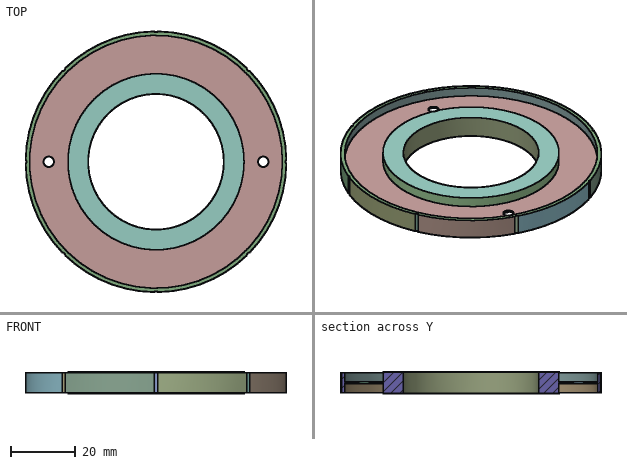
import cadquery as cq

outer_diameter = 81.3
hub_height = 6.75
hub_step = 0.25
rim_height = hub_height - 2 * hub_step
web_thickness = 0.5

rim_inner_diameter = 78.75
hub_diameter = 54.85
bore_diameter = 42.2

hole_diameter = 3.2
hole_spacing = 66.8

groove_count = 8
groove_radius = 0.7
groove_depth = 0.285
first_groove_angle = 0


def centered_disc(diameter, height):
    """Solid disc on the Z axis, centered on the middle plane."""
    return cq.Workplane("XY").circle(diameter / 2).extrude(height / 2, both=True)


def ring(outside, inside, height):
    """Flat ring on the Z axis, centered on the middle plane."""
    return centered_disc(outside, height).cut(centered_disc(inside, height))


def groove_cutters():
    """Upright cylinders spaced evenly just outside the rim."""
    center_radius = outer_diameter / 2 + groove_radius - groove_depth
    return (
        cq.Workplane("XY")
        .polarArray(center_radius, first_groove_angle, 360, groove_count)
        .circle(groove_radius)
        .extrude(hub_height / 2, both=True)
    )


def web_holes():
    """Cylinders for the two holes on the X axis."""
    return (
        cq.Workplane("XY")
        .rarray(hole_spacing, 0.8, 2, 1)
        .circle(hole_diameter / 2)
        .extrude(hub_height / 2, both=True)
    )


rim = ring(outer_diameter, rim_inner_diameter, rim_height)
web = centered_disc(outer_diameter, web_thickness)
hub = centered_disc(hub_diameter, hub_height)
bore = centered_disc(bore_diameter, hub_height)

result = rim.union(web).union(hub).cut(bore).cut(web_holes()).cut(groove_cutters())